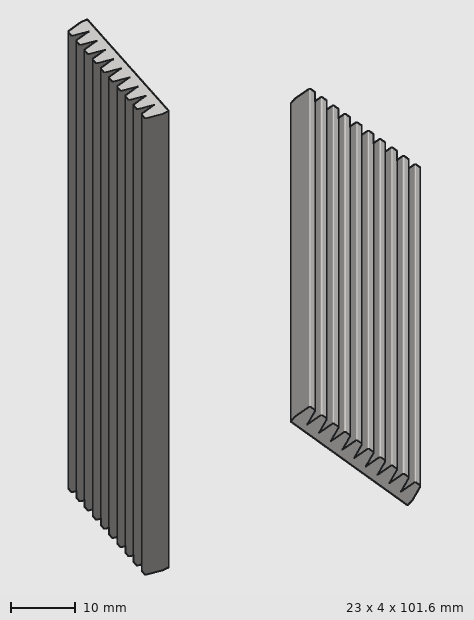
import cadquery as cq

length = 101.6
thickness = 4.0
backing = 1.2
rib_count = 10
pitch = 2.3
tip_width = 1.1
tip_radius = 0.2

width = rib_count * pitch
back_y = thickness / 2
root_y = back_y - backing
tip_y = -thickness / 2


def rib_points(index):
    """Root, tip, tip and root corners of one rib, from left to right."""
    left = -width / 2 + index * pitch
    right = left + pitch
    flank_run = (pitch - tip_width) / 2
    return [
        (left, root_y),
        (left + flank_run, tip_y),
        (right - flank_run, tip_y),
        (right, root_y),
    ]


outline = [(-width / 2, back_y), (-width / 2, root_y)]
for index in range(rib_count):
    outline.extend(rib_points(index)[1:])
outline.append((width / 2, back_y))

belt = cq.Workplane("XY").polyline(outline).close().extrude(length / 2, both=True)

result = belt.faces("<Y").edges("|Z").fillet(tip_radius)